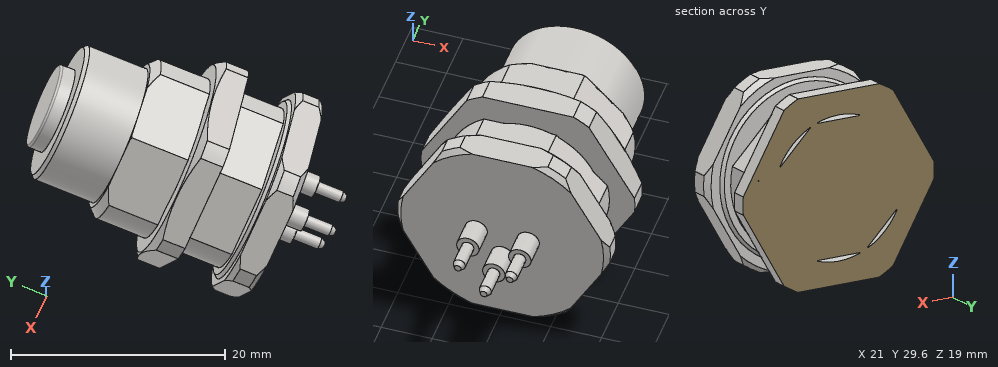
import cadquery as cq
import math


TOTAL_LENGTH = 29.65
PIN_TIP_LENGTH = 0.5
COLLAR_END = 3.05
HEAD_START = 5.57
HEAD_END = 8.3
SEAT_THICKNESS = 0.33
NUT_START = 13.3
NUT_END = 16.13
THREAD_END = 21.9
SHELL_END = 28.2

ACROSS_FLATS = 19.0
HEAD_CORNER_DIAMETER = 20.87
HEAD_BEVEL_LENGTH = 0.53
HEAD_FACE_DIAMETER = 19.9
NUT_CORNER_DIAMETER = 21.0
NUT_BEVEL_LENGTH = 0.55
NUT_FACE_DIAMETER = 18.83
NUT_BORE_DIAMETER = 14.3
SEAT_DIAMETER = 18.0
SEAT_BEVEL = 0.3

THREAD_DIAMETER = 16
THREAD_BEVEL = 0.8
SHELL_DIAMETER = 13.5
SHELL_BEVEL = 0.35
FLAT_ANGLES = (45, 90, 225, 270)
INSERT_DIAMETER = 8.3
INSERT_ROUNDING = 0.2

PIN_DIAMETER = 1.2
PIN_TIP_DIAMETER = 0.65
COLLAR_DIAMETER = 2.2
PIN_OFFSET = 2.55
PIN_CENTRES = ((-PIN_OFFSET, 0), (PIN_OFFSET, 0), (0, -PIN_OFFSET))


def turned(*stations):
    """Revolve a solid about Y from (diameter, y) stations listed in order of y."""
    outline = [(diameter / 2, y) for diameter, y in stations]
    axis_ends = [(0, stations[-1][1]), (0, stations[0][1])]
    return cq.Workplane("XY").polyline(outline + axis_ends).close().revolve(360, (0, 0), (0, 1))


def hexagon(start, end):
    """Hexagonal prism along Y with two flats facing +Z and -Z."""
    corner_diameter = ACROSS_FLATS / math.cos(math.radians(30))
    return cq.Workplane("XZ", origin=(0, start, 0)).polygon(6, corner_diameter).extrude(start - end)


def mounting_head():
    blank = turned(
        (HEAD_FACE_DIAMETER, HEAD_START),
        (HEAD_CORNER_DIAMETER, HEAD_START + HEAD_BEVEL_LENGTH),
        (HEAD_CORNER_DIAMETER, HEAD_END - HEAD_BEVEL_LENGTH),
        (HEAD_FACE_DIAMETER, HEAD_END),
    )
    seat_end = HEAD_END + SEAT_THICKNESS
    seat = turned((SEAT_DIAMETER, HEAD_END), (SEAT_DIAMETER - 2 * SEAT_BEVEL, seat_end))
    return blank.intersect(hexagon(HEAD_START, HEAD_END)).union(seat)


def lock_nut():
    """Nut bevelled on its +Y side; its bore clears the middle of each flat on the barrel."""
    blank = turned(
        (NUT_CORNER_DIAMETER, NUT_START),
        (NUT_CORNER_DIAMETER, NUT_END - NUT_BEVEL_LENGTH),
        (NUT_FACE_DIAMETER, NUT_END),
    )
    bore = turned((NUT_BORE_DIAMETER, NUT_START), (NUT_BORE_DIAMETER, NUT_END))
    return blank.intersect(hexagon(NUT_START, NUT_END)).cut(bore)


def threaded_barrel():
    """Bevelled cylinder with flats tangent to the shell, two pairs facing opposite ways."""
    barrel = turned(
        (THREAD_DIAMETER, HEAD_END),
        (THREAD_DIAMETER, THREAD_END - THREAD_BEVEL),
        (THREAD_DIAMETER - 2 * THREAD_BEVEL, THREAD_END),
    )
    block = cq.Workplane("XY").box(
        THREAD_DIAMETER, TOTAL_LENGTH, THREAD_DIAMETER, centered=(False, False, True)
    )
    cutter = block.translate((SHELL_DIAMETER / 2, 0, 0))
    for angle in FLAT_ANGLES:
        barrel = barrel.cut(cutter.rotate((0, 0, 0), (0, 1, 0), -angle))
    return barrel


def shell():
    return turned(
        (SHELL_DIAMETER, HEAD_END),
        (SHELL_DIAMETER, SHELL_END - SHELL_BEVEL),
        (SHELL_DIAMETER - 2 * SHELL_BEVEL, SHELL_END),
    )


def socket_insert():
    insert = turned((INSERT_DIAMETER, HEAD_END), (INSERT_DIAMETER, TOTAL_LENGTH))
    return insert.faces(">Y").edges().fillet(INSERT_ROUNDING)


def contact_pin():
    return turned(
        (PIN_TIP_DIAMETER, 0),
        (PIN_DIAMETER, PIN_TIP_LENGTH),
        (PIN_DIAMETER, COLLAR_END),
        (COLLAR_DIAMETER, COLLAR_END),
        (COLLAR_DIAMETER, HEAD_END),
    )


result = mounting_head()
for section in (threaded_barrel(), lock_nut(), shell(), socket_insert()):
    result = result.union(section)
for x, z in PIN_CENTRES:
    result = result.union(contact_pin().translate((x, 0, z)))